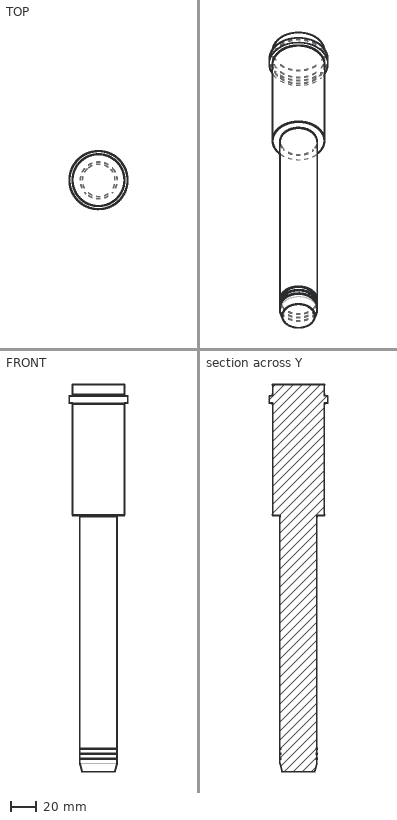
import cadquery as cq
import math

total_length = 310.0
flange_bottom = 295.0
flange_thickness = 6.0
body_length = 90.0

flange_radius = 47.0 / 2
body_radius = 42.0 / 2
shank_radius = 30.0 / 2

flange_chamfer = 0.5
body_chamfer = 0.5
relief_width = 1.0
relief_depth = 0.3

tip_length = 7.0
tip_half_angle = 15.0
tip_chamfer = 0.3

groove_radius = 0.5
groove_pitch = 4.0
groove_count = 3
lowest_groove_height = 10.5

flange_top = flange_bottom + flange_thickness
body_bottom = flange_bottom - body_length
tip_end_radius = shank_radius - tip_length * math.tan(math.radians(tip_half_angle))


def cylinder(radius, bottom, top):
    """Solid cylinder on the Z axis between two heights."""
    return cq.Workplane("XY").workplane(offset=bottom).circle(radius).extrude(top - bottom)


def cut_relief(part, radius, bottom):
    """Cut a shallow square relief groove into a cylinder of the given radius."""
    top = bottom + relief_width
    ring = cylinder(radius + relief_depth, bottom, top).cut(cylinder(radius - relief_depth, bottom, top))
    return part.cut(ring)


def make_shank():
    shank = cylinder(shank_radius, tip_length, body_bottom)
    for index in range(groove_count):
        height = lowest_groove_height + index * groove_pitch
        groove = cq.Solid.makeTorus(shank_radius, groove_radius, cq.Vector(0, 0, height))
        shank = shank.cut(cq.Workplane(groove))
    return cut_relief(shank, shank_radius, body_bottom - relief_width)


def make_tip():
    tip = cq.Workplane("XY").circle(tip_end_radius).workplane(offset=tip_length)
    tip = tip.circle(shank_radius).loft(ruled=True)
    return tip.faces("<Z").chamfer(tip_chamfer)


def make_body():
    body = cylinder(body_radius, body_bottom, total_length).faces("<Z or >Z").chamfer(body_chamfer)
    for relief_bottom in (flange_bottom - relief_width, flange_top):
        body = cut_relief(body, body_radius, relief_bottom)
    return body


def make_flange():
    flange = cylinder(flange_radius, flange_bottom, flange_top)
    return flange.faces(">Z").chamfer(flange_chamfer)


result = make_tip().union(make_shank()).union(make_body()).union(make_flange())